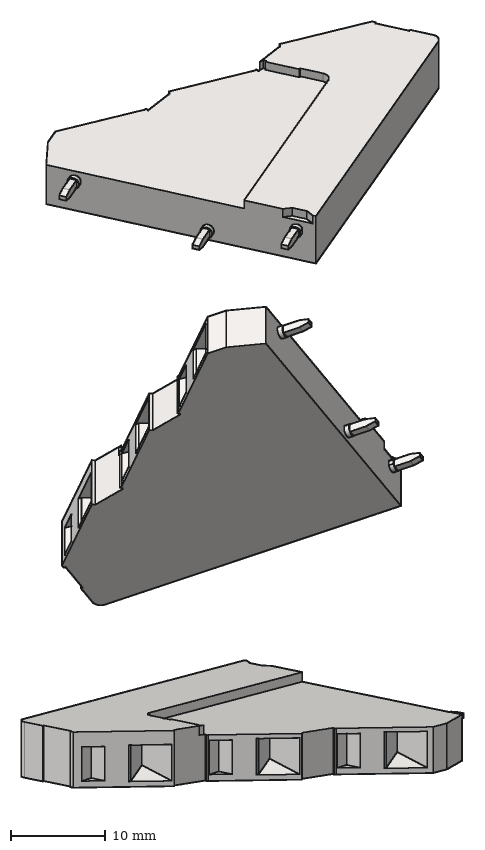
import cadquery as cq
import math

width = 32.2
body_length = 36.55
height = 6.1
base_height = 5.05
corner_radius = 1.0

bottom_left_x = 1.4
chamfer_top_y = 4.05
slope_start_y = 6.25

tier_count = 3
tier_pitch_x = 8.2
tier_pitch_y = 11.208

slope_end_x = 7.3
crest_x = 7.38
crest_y = 13.8
valley_x = 7.7
valley_y = 13.6
riser_head_x = 8.68
riser_head_y = 17.45
lip_x = 8.45

relief_start_x = 24.7
relief_end_x = 28.6
relief_depth = 0.2

step_y = 25.45
step_foot_y = 25.02
step_x = width - tier_pitch_x

slot_bottom_y = 11.75
slot_top_y = 13.47
slot_low_z = 0.72
slot_high_z = 4.45
slot_angle = 6

funnel_bottom_y = 6.7
funnel_bend_y = 9.6
funnel_top_y = 9.95
funnel_low_z = 0.6
funnel_high_z = 4.57
funnel_throat_low_z = 1.65
funnel_throat_high_z = 4.15
funnel_angle = 19

notch_center_x = 30.1
notch_mouth = 3.45
notch_floor = 1.7
notch_depth = 0.55

pin_length = 3.55
pin_taper_start = 2.5
pin_width = 0.8
pin_thickness = 1.0
pin_tip_thickness = 0.5
collar_diameter = 1.35
collar_length = 0.55
flat_collar_width = 1.25
low_pin_z = 1.3
high_pin_z = 3.85
pins = [
    (4.7, high_pin_z, collar_diameter),
    (19.9, low_pin_z, collar_diameter),
    (30.05, high_pin_z, flat_collar_width),
]


def slope_x(y, tier):
    """X of a tier's 45-degree face at the given Y."""
    return y - slope_start_y - tier * (tier_pitch_y - tier_pitch_x)


def slope_y(x, tier):
    """Y of a tier's 45-degree face at the given X."""
    return x + slope_start_y + tier * (tier_pitch_y - tier_pitch_x)


def riser_points(tier):
    """Crest and valley at the foot of the riser above a tier, then its head and overhanging lip."""
    shift_x = tier * tier_pitch_x
    shift_y = tier * tier_pitch_y
    end_x = slope_end_x + shift_x
    tip_x = lip_x + shift_x
    return [
        (end_x, slope_y(end_x, tier)),
        (crest_x + shift_x, crest_y + shift_y),
        (valley_x + shift_x, valley_y + shift_y),
        (riser_head_x + shift_x, riser_head_y + shift_y),
        (tip_x, slope_y(tip_x, tier + 1)),
    ]


def make_housing():
    points = [(bottom_left_x, 0), (0, chamfer_top_y), (0, slope_start_y)]
    for tier in range(tier_count - 1):
        points += riser_points(tier)
    points += [
        (slope_x(body_length, tier_count - 1), body_length),
        (relief_start_x, body_length),
        (relief_start_x, body_length - relief_depth),
        (relief_end_x, body_length - relief_depth),
        (relief_end_x, body_length),
        (width, body_length),
        (width, 0),
    ]
    block = cq.Workplane("XY").polyline(points).close().extrude(height)
    return block.edges("|Z and >X and >Y").fillet(corner_radius)


def make_step():
    """Space above the base in front of the L-shaped upper layer."""
    upper_valley_x = valley_x + tier_pitch_x
    upper_valley_y = valley_y + tier_pitch_y
    riser_lean = (riser_head_x - valley_x) / (riser_head_y - valley_y)
    step_foot_x = upper_valley_x + (step_foot_y - upper_valley_y) * riser_lean
    start_x = relief_start_x - tier_pitch_x
    end_x = relief_end_x - tier_pitch_x
    return (
        cq.Workplane("XY", origin=(0, 0, base_height))
        .moveTo(0, 0)
        .lineTo(0, step_y)
        .lineTo(upper_valley_x, step_y)
        .lineTo(step_foot_x, step_foot_y)
        .lineTo(slope_x(step_y, 1), step_y)
        .lineTo(start_x, step_y)
        .lineTo(start_x, step_y - relief_depth)
        .lineTo(end_x, step_y - relief_depth)
        .lineTo(end_x, step_y)
        .lineTo(step_x - corner_radius, step_y)
        .radiusArc((step_x, step_y - corner_radius), corner_radius)
        .lineTo(step_x, 0)
        .close()
        .extrude(height - base_height)
    )


def make_wedge(bottom_y, top_y, low_z, high_z):
    """Cut into the lowest sloped face, with a level floor and a slightly tilted back wall."""
    back_x = slope_x(top_y, 0) + (top_y - bottom_y) * math.tan(math.radians(slot_angle))
    points = [
        (slope_x(bottom_y, 0), bottom_y),
        (slope_x(top_y, 0), top_y),
        (back_x, bottom_y),
    ]
    return cq.Workplane("XY", origin=(0, 0, low_z)).polyline(points).close().extrude(high_z - low_z)


def make_funnel():
    """Wire entry of the lowest tier, narrowing inwards to its throat."""
    mouth_x = slope_x(funnel_bottom_y, 0)
    bend_mouth_x = slope_x(funnel_bend_y, 0)
    run = funnel_bend_y - funnel_bottom_y
    bend_back_x = bend_mouth_x + funnel_top_y - funnel_bend_y
    throat_x = bend_back_x + run * math.tan(math.radians(funnel_angle))
    bottom = [
        cq.Vector(mouth_x, funnel_bottom_y, funnel_low_z),
        cq.Vector(throat_x, funnel_bottom_y, funnel_throat_low_z),
        cq.Vector(throat_x, funnel_bottom_y, funnel_throat_high_z),
        cq.Vector(mouth_x, funnel_bottom_y, funnel_high_z),
    ]
    bend = [
        cq.Vector(bend_mouth_x, funnel_bend_y, funnel_low_z),
        cq.Vector(bend_back_x, funnel_bend_y, funnel_low_z),
        cq.Vector(bend_back_x, funnel_bend_y, funnel_high_z),
        cq.Vector(bend_mouth_x, funnel_bend_y, funnel_high_z),
    ]
    wires = [cq.Wire.makePolygon(corners, close=True) for corners in (bottom, bend)]
    throat = cq.Workplane(cq.Solid.makeLoft(wires, True))
    return throat.union(make_wedge(funnel_bend_y, funnel_top_y, funnel_low_z, funnel_high_z))


def make_notch():
    points = [
        (notch_center_x - notch_mouth / 2, 0),
        (notch_center_x - notch_floor / 2, notch_depth),
        (notch_center_x + notch_floor / 2, notch_depth),
        (notch_center_x + notch_mouth / 2, 0),
    ]
    layer = cq.Workplane("XY", origin=(0, 0, base_height))
    return layer.polyline(points).close().extrude(height - base_height)


def make_pin(x, z, collar_width):
    """Rectangular pin with a wedge tip and a round collar trimmed to the given width."""
    profile = [
        (0, -pin_thickness / 2),
        (-pin_taper_start, -pin_thickness / 2),
        (-pin_length, -pin_tip_thickness / 2),
        (-pin_length, pin_tip_thickness / 2),
        (-pin_taper_start, pin_thickness / 2),
        (0, pin_thickness / 2),
    ]
    blade = cq.Workplane("YZ").polyline(profile).close().extrude(pin_width / 2, both=True)
    collar = cq.Workplane("XZ").circle(collar_diameter / 2).extrude(collar_length)
    if collar_width < collar_diameter:
        trim = cq.Workplane("XZ").rect(collar_width, collar_diameter).extrude(collar_length)
        collar = collar.intersect(trim)
    return blade.union(collar).translate((x, 0, z))


result = make_housing().cut(make_step()).cut(make_notch())

slot = make_wedge(slot_bottom_y, slot_top_y, slot_low_z, slot_high_z)
funnel = make_funnel()
for tier in range(tier_count):
    shift = (tier * tier_pitch_x, tier * tier_pitch_y, 0)
    result = result.cut(slot.translate(shift)).cut(funnel.translate(shift))

for pin_x, pin_z, collar_width in pins:
    result = result.union(make_pin(pin_x, pin_z, collar_width))